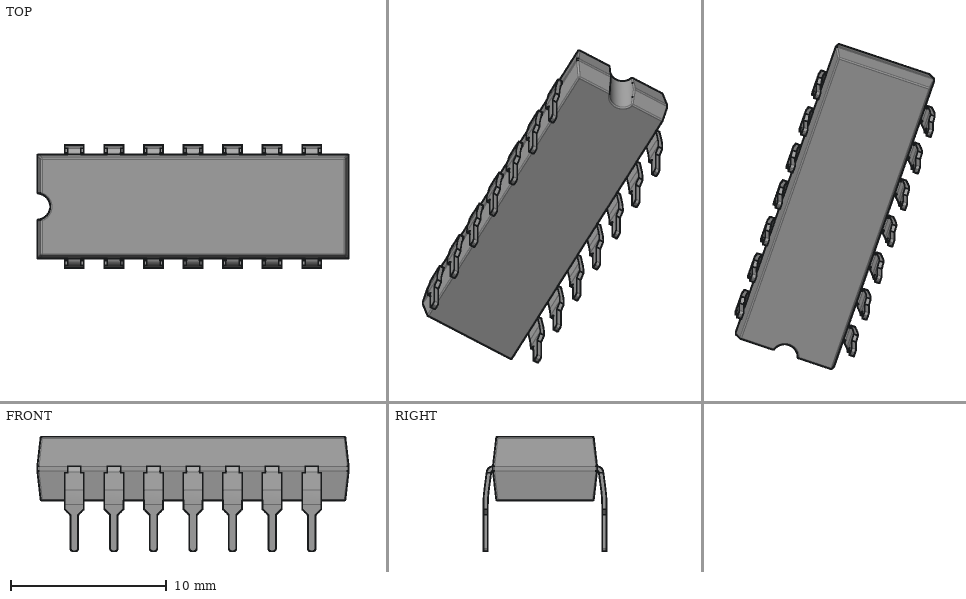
import cadquery as cq
import math


body_length = 20.0
body_width = 6.7
body_height = 4.1
body_inset = 0.22
edge_radius = 0.1
notch_radius = 0.83

leads_per_row = 7
lead_pitch = 2.54
lead_thickness = 0.3
lead_span = 7.92
lead_root_y = 2.9
lead_tip_z = -3.26

shoulder_radius = 0.42
lean_angle = math.radians(7.5)
knee_top_z = 0.70
knee_bottom_z = -0.25

neck_width = 0.86
blade_width = 1.24
pin_width = 0.5
blade_top_z = 1.79
taper_top_z = -0.55
taper_angle = math.radians(45)
tip_radius = 0.2

band_bottom_z = (body_height - lead_thickness) / 2
band_top_z = band_bottom_z + lead_thickness


def body_half(start_z, height):
    """Tapered block growing from the parting band; a negative height grows downwards."""
    draft = math.degrees(math.atan(body_inset / abs(height)))
    base = cq.Workplane("XY", origin=(0, 0, start_z)).rect(body_length, body_width)
    return base.extrude(height, taper=draft)


def is_band_outline(edge):
    """True for the level edges where the parting band meets the two tapered halves."""
    box = edge.BoundingBox()
    is_level = box.zlen < edge_radius
    is_beside_band = band_bottom_z - edge_radius < box.center.z < band_top_z + edge_radius
    return is_level and is_beside_band


def make_body():
    band_base = cq.Workplane("XY", origin=(0, 0, band_bottom_z)).rect(body_length, body_width)
    band = band_base.extrude(lead_thickness)
    upper = body_half(band_top_z, body_height - band_top_z)
    lower = body_half(band_bottom_z, -band_bottom_z)
    notch = cq.Workplane("XY").center(-body_length / 2, 0).circle(notch_radius).extrude(body_height)
    body = band.union(upper).union(lower).cut(notch)
    rounded_edges = [edge for edge in body.edges().vals() if not is_band_outline(edge)]
    return body.newObject(rounded_edges).fillet(edge_radius)


def lead_face_points(depth):
    """(Y, Z) points along one face of a lead, at a depth below its outer face.

    The shoulder and knee arcs of both faces share their centres.
    """
    knee_radius = (knee_top_z - knee_bottom_z) / math.sin(lean_angle)
    knee_y = lead_span / 2 - knee_radius
    shoulder_z = band_top_z - shoulder_radius
    straight_drop = shoulder_z + shoulder_radius * math.sin(lean_angle) - knee_top_z
    shoulder_end_y = knee_y + knee_radius * math.cos(lean_angle) - straight_drop * math.tan(lean_angle)
    shoulder_y = shoulder_end_y - shoulder_radius * math.cos(lean_angle)

    def on_shoulder(angle):
        radius = shoulder_radius - depth
        return (shoulder_y + radius * math.cos(angle), shoulder_z + radius * math.sin(angle))

    def on_knee(angle):
        radius = knee_radius - depth
        return (knee_y + radius * math.cos(angle), knee_bottom_z + radius * math.sin(angle))

    return {
        "root": (lead_root_y, band_top_z - depth),
        "shoulder_start": on_shoulder(math.pi / 2),
        "shoulder_middle": on_shoulder((math.pi / 2 + lean_angle) / 2),
        "shoulder_end": on_shoulder(lean_angle),
        "knee_start": on_knee(lean_angle),
        "knee_middle": on_knee(lean_angle / 2),
        "knee_end": on_knee(0),
        "tip": (lead_span / 2 - depth, lead_tip_z),
    }


def bent_strip():
    """Strip of blade width bent down from the band, for a lead on the +Y side at X = 0."""
    outer = lead_face_points(0)
    inner = lead_face_points(lead_thickness)
    return (
        cq.Workplane("YZ")
        .moveTo(*outer["root"])
        .lineTo(*outer["shoulder_start"])
        .threePointArc(outer["shoulder_middle"], outer["shoulder_end"])
        .lineTo(*outer["knee_start"])
        .threePointArc(outer["knee_middle"], outer["knee_end"])
        .lineTo(*outer["tip"])
        .lineTo(*inner["tip"])
        .lineTo(*inner["knee_end"])
        .threePointArc(inner["knee_middle"], inner["knee_start"])
        .lineTo(*inner["shoulder_end"])
        .threePointArc(inner["shoulder_middle"], inner["shoulder_start"])
        .lineTo(*inner["root"])
        .close()
        .extrude(blade_width / 2, both=True)
    )


def lead_silhouette():
    """Neck, blade, taper and rounded pin as a block reaching through the strip along Y."""
    taper_drop = (blade_width - pin_width) / 2 * math.tan(taper_angle)
    half_outline = [
        (neck_width / 2, band_top_z),
        (neck_width / 2, blade_top_z),
        (blade_width / 2, blade_top_z),
        (blade_width / 2, taper_top_z),
        (pin_width / 2, taper_top_z - taper_drop),
        (pin_width / 2, lead_tip_z),
    ]
    mirrored_outline = [(-x, z) for x, z in reversed(half_outline)]
    block = cq.Workplane("XZ").polyline(half_outline + mirrored_outline).close().extrude(-lead_span / 2)
    return block.faces("<Z").edges("|Y").fillet(tip_radius)


def make_leads():
    """Both rows of leads, centred along the body."""
    lead = bent_strip().intersect(lead_silhouette())
    opposite_lead = lead.mirror("XZ")
    first_x = -lead_pitch * (leads_per_row - 1) / 2
    leads = []
    for index in range(leads_per_row):
        offset = (first_x + index * lead_pitch, 0, 0)
        leads.append(lead.translate(offset))
        leads.append(opposite_lead.translate(offset))
    return leads


result = make_body()
for single_lead in make_leads():
    result = result.union(single_lead)